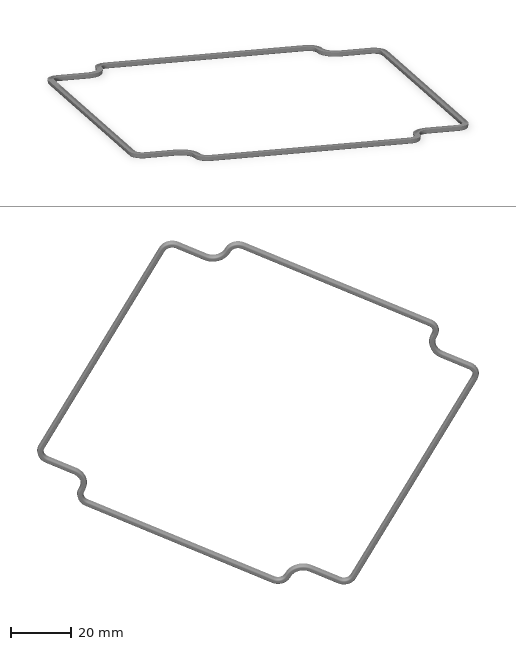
import cadquery as cq
import math

overall_size = 117.7
height = 1.6
band_width = 2.1
end_width = 98.5
side_length = 78.5
corner_radius = 4.7
notch_radius = 4.5
draft_angle = 10.0
bottom_radius = 0.5


def cross_outline(inset):
    """Closed, rounded cross on the upper plane, the given distance inside the outer face."""
    half_size = overall_size / 2 - inset
    notch_x = end_width / 2 - inset
    notch_y = side_length / 2 - inset
    corners = [
        (half_size, -notch_y, False),
        (half_size, notch_y, False),
        (notch_x, notch_y, True),
        (notch_x, half_size, False),
        (-notch_x, half_size, False),
        (-notch_x, notch_y, True),
        (-half_size, notch_y, False),
        (-half_size, -notch_y, False),
        (-notch_x, -notch_y, True),
        (-notch_x, -half_size, False),
        (notch_x, -half_size, False),
        (notch_x, -notch_y, True),
    ]
    outline = cq.Workplane("XY").workplane(offset=height)
    for index, (x, y, is_notch) in enumerate(corners):
        radius = notch_radius + inset if is_notch else corner_radius - inset
        previous = corners[index - 1]
        following = corners[(index + 1) % len(corners)]
        arc = corner_arc((x, y), previous, following, radius)
        outline = outline.lineTo(*arc[0]) if index else outline.moveTo(*arc[0])
        outline = outline.threePointArc(arc[1], arc[2])
    return outline.close()


def corner_arc(corner, previous, following, radius):
    """Start, middle and end of the arc that rounds a right-angled corner."""
    toward_previous = unit_step(corner, previous)
    toward_following = unit_step(corner, following)
    middle_distance = radius * (1 - math.sqrt(0.5))
    start = tuple(c + radius * p for c, p in zip(corner, toward_previous))
    end = tuple(c + radius * f for c, f in zip(corner, toward_following))
    middle = tuple(
        c + middle_distance * (p + f) for c, p, f in zip(corner, toward_previous, toward_following)
    )
    return start, middle, end


def unit_step(origin, target):
    """Unit direction from one outline corner to a neighbouring one."""
    dx = target[0] - origin[0]
    dy = target[1] - origin[1]
    length = math.hypot(dx, dy)
    return dx / length, dy / length


outer_body = cross_outline(0).extrude(-height, taper=draft_angle)
opening = cross_outline(band_width).extrude(-height, taper=-draft_angle)
band = outer_body.cut(opening)
result = band.faces("<Z").edges().fillet(bottom_radius)